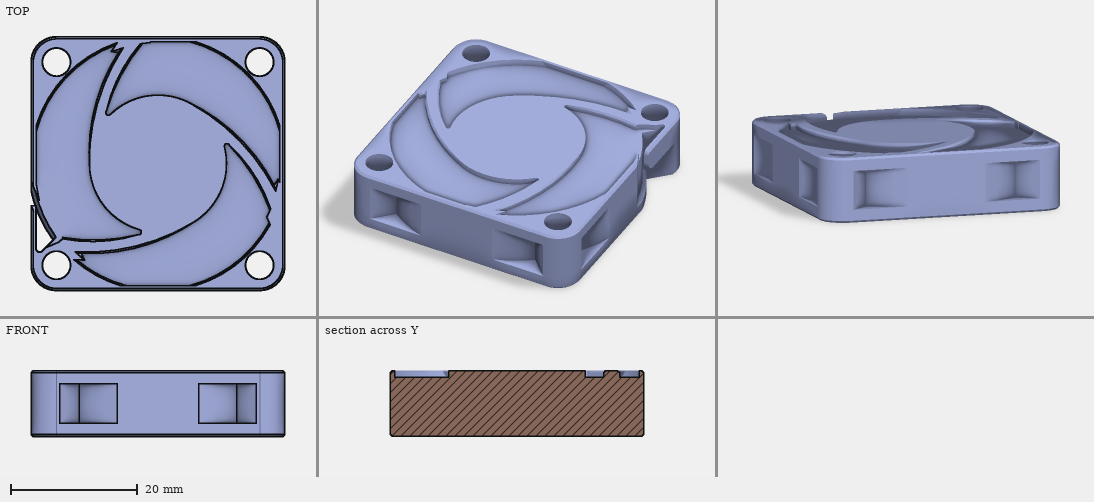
import cadquery as cq
import math

SIDE = 40.0
HALF = SIDE / 2
HEIGHT = 10.4
CORNER_RADIUS = 4.0
EDGE_CHAMFER = 0.35
HOLE_PITCH = 32.0
HOLE_DIAMETER = 4.4

WINDOW_BOTTOM = 2.1
WINDOW_TOP = 8.3
WINDOW_BACK_RADIUS = 21.0
WINDOW_CORNER = 15.5
OUTLET_SIDE = 3

POCKET_COUNT = 3
POCKET_PITCH_ANGLE = 360 / POCKET_COUNT
POCKET_DEPTH = 1.0
POCKET_RIM_RADIUS = 20.1
POCKET_FLOOR_RADIUS = 19.85
POCKET_FLAT = 19.2
HUB_RADIUS = 10.8
POCKET_REACH = 20.3
ARM_BEVEL_WIDTH = 0.3
ARM_BEVEL_DEPTH = 0.3
SAWTOOTH_RADIUS = 19.1
LEADING_RIM_START_ANGLE = 61.0
LEADING_FLOOR_START_ANGLE = 65.0
LEADING_RIM_TIP = (19.05, -13.2)
LEADING_FLOOR_TIP = (18.6, -10.5)
LEADING_NOTCH_ANGLE = -7.3
LEADING_RIM_ANGLE = -12.0
TRAILING_RIM_ANGLE = 91.0
TRAILING_NOTCH_ANGLE = 93.8
TRAILING_TIP_ANGLE = 98.3
TRAILING_MID = (14.0, 119.5)
TRAILING_ROOT = (11.6, 134.5)
HUB_TIP_ROUND = (11.25, 136.3)
HUB_END_ANGLE = 134.5

OUTLET_TOP_Y = -2.8
OUTLET_FLANK_END = (-18.3, -6.75)
CORE_RADIUS = 19.8
FLANGE_RADIUS = 20.44
FLANGE_HEIGHT = 1.85
LEDGE_TOP = 2.4
BRIDGE_BOTTOM = 6.4
BRIDGE_END_Y = -6.6
BRIDGE_CORNER_RADIUS = 1.6
BRIDGE_TOP_RADIUS = 0.9
OPENING_FILLET = 0.55
OUTLET_REACH = 6.0
OUTLET_POCKET_INNER = (-15.4, -7.2)
OUTLET_ARM_EDGE = [(-15.7, -12.4), (-17.6, -13.2)]
RIM_TAIL_START_Y = -3.1
RIM_TAIL_TIP = (-18.6, -6.4)

POCKET_FLOOR = HEIGHT - POCKET_DEPTH


def polar(radius, angle):
    """Point in the XY plane from a radius and an angle in degrees."""
    turn = math.radians(angle)
    return (radius * math.cos(turn), radius * math.sin(turn))


def make_body():
    body = cq.Workplane("XY").rect(SIDE, SIDE).extrude(HEIGHT)
    body = body.edges("|Z").fillet(CORNER_RADIUS)
    body = body.faces("<Z or >Z").edges().chamfer(EDGE_CHAMFER)
    holes = (
        cq.Workplane("XY")
        .rect(HOLE_PITCH, HOLE_PITCH, forConstruction=True)
        .vertices()
        .circle(HOLE_DIAMETER / 2)
        .extrude(HEIGHT)
    )
    return body.cut(holes)


def make_window():
    """Cutter for the window on the -Y side, next to the -X corner."""
    height = WINDOW_TOP - WINDOW_BOTTOM
    wedge = (
        cq.Workplane("XY", origin=(0, 0, WINDOW_BOTTOM))
        .polyline([(-WINDOW_CORNER, -HALF), (0, -HALF), (0, WINDOW_CORNER - HALF)])
        .close()
        .extrude(height)
    )
    back = cq.Workplane("XY").circle(WINDOW_BACK_RADIUS).extrude(HEIGHT)
    return wedge.cut(back)


def cut_windows(body):
    """Two mirrored windows on every side; the cable outlet takes the place of one."""
    window = make_window()
    for side in range(4):
        turned = window.rotate((0, 0, 0), (0, 0, 1), 90 * side)
        mirrored = window.mirror("YZ").rotate((0, 0, 0), (0, 0, 1), 90 * side)
        body = body.cut(turned)
        if side != OUTLET_SIDE:
            body = body.cut(mirrored)
    return body


def pocket_outline(height, bevel):
    """Closed outline of one pocket at a height; bevel moves both arm edges away from the arms."""
    plane = cq.Workplane("XY", origin=(0, 0, height))
    if bevel > 0:
        start_angle = LEADING_FLOOR_START_ANGLE
        leading_tip = polar(*LEADING_FLOOR_TIP)
    else:
        start_angle = LEADING_RIM_START_ANGLE
        leading_tip = polar(*LEADING_RIM_TIP)
    bevel_angle = math.degrees(bevel / SAWTOOTH_RADIUS)
    trail_mid_angle = TRAILING_MID[1] - math.degrees(bevel / TRAILING_MID[0])
    return (
        plane.moveTo(*leading_tip)
        .lineTo(*polar(SAWTOOTH_RADIUS, LEADING_NOTCH_ANGLE))
        .lineTo(*polar(POCKET_REACH, LEADING_RIM_ANGLE))
        .threePointArc(
            polar(POCKET_REACH, (LEADING_RIM_ANGLE + TRAILING_RIM_ANGLE) / 2),
            polar(POCKET_REACH, TRAILING_RIM_ANGLE),
        )
        .lineTo(*polar(SAWTOOTH_RADIUS, TRAILING_NOTCH_ANGLE))
        .lineTo(*polar(SAWTOOTH_RADIUS, TRAILING_TIP_ANGLE - bevel_angle))
        .threePointArc(polar(TRAILING_MID[0], trail_mid_angle), polar(*TRAILING_ROOT))
        .threePointArc(polar(*HUB_TIP_ROUND), polar(HUB_RADIUS, HUB_END_ANGLE))
        .threePointArc(
            polar(HUB_RADIUS, (HUB_END_ANGLE + start_angle) / 2),
            polar(HUB_RADIUS, start_angle),
        )
        .tangentArcPoint(leading_tip, relative=False)
        .close()
        .val()
    )


def make_pocket_layers():
    """One pocket as two cutters: its full depth, and the shallow bevel along its arm edges."""
    floor = cq.Workplane(obj=pocket_outline(POCKET_FLOOR, ARM_BEVEL_WIDTH)).toPending()
    full_depth = floor.extrude(POCKET_DEPTH)
    bevel_bottom = pocket_outline(HEIGHT - ARM_BEVEL_DEPTH, ARM_BEVEL_WIDTH)
    bevel_top = pocket_outline(HEIGHT, 0)
    bevel = cq.Workplane(obj=cq.Solid.makeLoft([bevel_bottom, bevel_top], True))
    return [full_depth, bevel]


def make_pocket_limit():
    """Area open to the pockets: inside the drafted round wall, the side rims
    and the rim tail at the cable outlet."""
    flat = POCKET_FLAT
    outline = [
        (flat, -flat),
        (flat, flat),
        (-flat, flat),
        (-flat, RIM_TAIL_START_Y),
        RIM_TAIL_TIP,
        (-flat, BRIDGE_END_Y),
        (-flat, -flat),
    ]
    plane = cq.Workplane("XY", origin=(0, 0, POCKET_FLOOR))
    area = plane.polyline(outline).close().extrude(POCKET_DEPTH)
    cone = cq.Solid.makeCone(
        POCKET_FLOOR_RADIUS, POCKET_RIM_RADIUS, POCKET_DEPTH, cq.Vector(0, 0, POCKET_FLOOR)
    )
    return area.intersect(cq.Workplane(obj=cone))


def make_outlet_pocket():
    """Part of the top recess that runs from a swirl pocket out into the cable outlet."""
    outline = [
        RIM_TAIL_TIP,
        OUTLET_POCKET_INNER,
        polar(SAWTOOTH_RADIUS, TRAILING_TIP_ANGLE + POCKET_PITCH_ANGLE),
        *OUTLET_ARM_EDGE,
        (-POCKET_FLAT, BRIDGE_END_Y),
    ]
    plane = cq.Workplane("XY", origin=(0, 0, POCKET_FLOOR))
    return plane.polyline(outline).close().extrude(POCKET_DEPTH)


def cut_pockets(body):
    layers = make_pocket_layers()
    limit = make_pocket_limit()
    for index in range(POCKET_COUNT):
        for layer in layers:
            turned = layer.rotate((0, 0, 0), (0, 0, 1), index * POCKET_PITCH_ANGLE)
            body = body.cut(turned.intersect(limit))
    return body.cut(make_outlet_pocket())


def make_core():
    """Round wall left standing behind the cable outlet, with a flange at its foot."""
    profile = [
        (0, 0),
        (FLANGE_RADIUS, 0),
        (FLANGE_RADIUS, FLANGE_HEIGHT),
        (CORE_RADIUS, LEDGE_TOP),
        (CORE_RADIUS, POCKET_FLOOR),
        (0, POCKET_FLOOR),
    ]
    return cq.Workplane("XZ").polyline(profile).close().revolve()


def end_edge_selector(height):
    """Picks the edge across the free end of the bridge at a height."""
    return cq.selectors.NearestToPointSelector(
        (-(HALF + POCKET_FLAT) / 2, BRIDGE_END_Y, height)
    )


def round_bridge_end(bridge):
    bridge = bridge.edges(end_edge_selector(BRIDGE_BOTTOM)).fillet(BRIDGE_CORNER_RADIUS)
    return bridge.edges(end_edge_selector(HEIGHT)).fillet(BRIDGE_TOP_RADIUS)


def make_bridge():
    """Thin wall across the outlet, thickened where it meets the 45 degree flank."""
    bridge_y = (BRIDGE_END_Y - HALF) / 2
    bridge_length = BRIDGE_END_Y + HALF
    bridge_height = HEIGHT - BRIDGE_BOTTOM
    bridge = (
        cq.Workplane("XY", origin=(-HALF, bridge_y, BRIDGE_BOTTOM))
        .box(HALF, bridge_length, bridge_height, centered=(False, True, False))
    )
    flank_offset = HALF - WINDOW_CORNER
    acute_y = flank_offset - POCKET_FLAT
    opening = (
        cq.Workplane("XY", origin=(0, 0, BRIDGE_BOTTOM))
        .polyline([
            (-POCKET_FLAT, BRIDGE_END_Y + HALF),
            (-POCKET_FLAT, acute_y),
            (0, flank_offset),
        ])
        .close()
        .extrude(bridge_height)
    )
    acute_corner = cq.selectors.NearestToPointSelector(
        (-POCKET_FLAT, acute_y, (BRIDGE_BOTTOM + HEIGHT) / 2)
    )
    opening = opening.edges("|Z").edges(acute_corner).fillet(OPENING_FILLET)
    return round_bridge_end(bridge.cut(opening))


def make_outlet():
    """Cutter for the cable outlet: open to the top, with a bridge across its outer face."""
    corner = (-HALF, -WINDOW_CORNER)
    inner_end = (-HALF + OUTLET_REACH, -WINDOW_CORNER + OUTLET_REACH)
    outline = [corner, (-HALF, OUTLET_TOP_Y), OUTLET_FLANK_END, inner_end]
    outlet = cq.Workplane("XY").polyline(outline).close().extrude(HEIGHT)
    return outlet.cut(make_core()).cut(make_bridge())


result = cut_pockets(cut_windows(make_body())).cut(make_outlet())